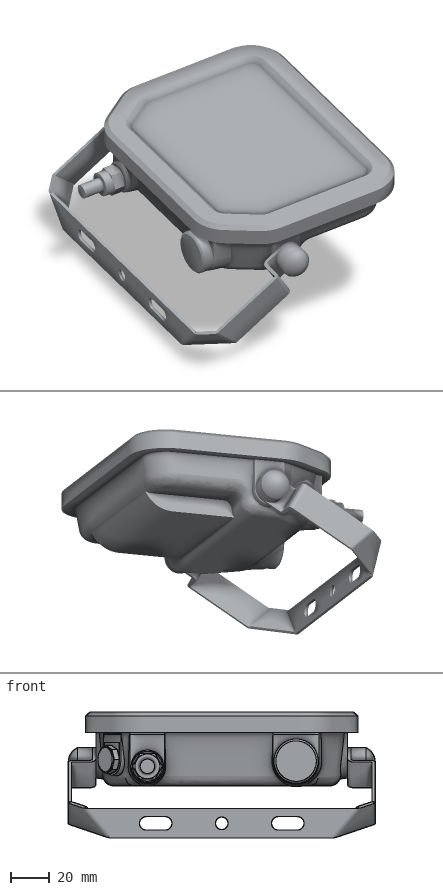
import cadquery as cq
import math

joint_z = 0.0

frame_half_width = 70.0
frame_back_y = 65.3
frame_front_y = -46.7
corner_cut_x = 50.3
corner_cut_y = -18.5
frame_corner_radius = 19.7
frame_height = 10.5
frame_bevel_width = 2.4
frame_bevel_height = 2.0
rim_width = 11.2
window_slope_width = 3.2
window_depth = 2.7

zone_half_width = 52.8
zone_back_y = 47.8
zone_front_y = -2.5
zone_corner_radius = 3.2

housing_inset = 7.0
side_draft = 5.0
back_draft = 9.0
front_draft = 10.0
deep_floor_z = -27.5
shallow_floor_z = -16.4
floor_step_y = 6.5
floor_step_inner_radius = 4.7
housing_edge_radius = 6.0
heat_sink_half_width = 41.0
heat_sink_back_y = 55.2
heat_sink_floor_z = -25.1
heat_sink_root_z = -7.9
heat_sink_radius = 16.5

pivot_y = -5.7
pivot_z = -15.3
pivot_pad_x = 64.7
pivot_pad_radius = 8.0
pad_root = 9.5
pad_draft = 8.0
pad_lip = 1.0

strip_width = 15.3
strip_thickness = 1.7
bracket_tilt = 30.0
bracket_half_width = 78.9
offset_distance = 13.0
bar_y = -64.8
bar_low_z = -54.3
arm_fold_top_y = -57.3
arm_fold_low_y = -45.5
bar_fold_top_x = 70.7
bend_radius = 2.4
plate_bend_radius = 3.2
mount_hole_diameter = 6.3
slot_length = 16.5
slot_width = 6.8
slot_x = 33.9

knob_diameter = strip_width
knob_dome_height = 4.9

gland_x = -38.2
gland_z = -17.4
front_pad_y = -40.5
gland_pad_radius = 8.8
gland_flange_diameter = 16.7
gland_flange_y = -42.9
gland_flange_bevel = 0.6
gland_hex_start_y = -43.9
gland_hex_sides = 6
gland_hex_flats = 13.3
gland_hex_end_y = -49.5
gland_collar_diameter = 12.8
gland_collar_end_y = -54.0
cable_diameter = 7.4
cable_end_y = -65.2

plug_x = -gland_x
plug_z = -14.7
plug_pad_radius = 11.8
plug_diameter = 22.7
plug_length = 6.3
plug_bevel = 1.0

vent_z = -13.9
vent_offset = 3.0
vent_pad_inset = 6.8
vent_pad_radius = 7.9
vent_seat_radius = 6.8
vent_seat_top = -5.0
vent_seat_height = 0.3
vent_sides = 8
vent_flats = 13.4
vent_grip_height = 3.3
vent_cap_diameter = 12.8
vent_cap_height = 0.8

corner_run_x = frame_half_width - corner_cut_x
corner_run_y = corner_cut_y - frame_front_y
corner_run = math.hypot(corner_run_x, corner_run_y)
slant_normal = (-corner_run_y / corner_run, -corner_run_x / corner_run, 0)


def rounded_outline(side, back, front, radius):
    """Frame outline with its sides, back and front moved inwards, and all corners rounded.

    The slanted corners move inwards by the mean of the side and front distances.
    """
    slant = (side + front) / 2
    half_width = frame_half_width - side
    front_y = frame_front_y + front
    cut_y = corner_cut_y + (slant * corner_run - side * corner_run_y) / corner_run_x
    cut_x = corner_cut_x - (slant * corner_run - front * corner_run_x) / corner_run_y
    points = [
        (-half_width, frame_back_y - back),
        (half_width, frame_back_y - back),
        (half_width, cut_y),
        (cut_x, front_y),
        (-cut_x, front_y),
        (-half_width, cut_y),
    ]
    block = cq.Workplane("XY").polyline(points).close().extrude(1.5)
    return block.edges("|Z").fillet(radius).faces("<Z").wires().val()


def frame_outline(inset):
    """Frame outline moved inwards evenly."""
    return rounded_outline(inset, inset, inset, frame_corner_radius - inset)


def prism(wire, low_z, high_z):
    """Straight block between two heights."""
    base = wire.moved(cq.Location(cq.Vector(0, 0, low_z)))
    return cq.Workplane(cq.Solid.extrudeLinear(base, [], cq.Vector(0, 0, high_z - low_z)))


def lofted(low_wire, low_z, high_wire, high_z):
    """Block with sloping walls between two outlines."""
    low = low_wire.moved(cq.Location(cq.Vector(0, 0, low_z)))
    high = high_wire.moved(cq.Location(cq.Vector(0, 0, high_z)))
    return cq.Workplane(cq.Solid.makeLoft([low, high], True))


front = (0, -1, 0)
window_floor_z = frame_height - window_depth
glass_inset = rim_width + window_slope_width
glass_wire = frame_outline(glass_inset)


def make_frame():
    """Bevelled ring with a sloping window edge."""
    bevel_z = frame_height - frame_bevel_height
    body = prism(frame_outline(0), joint_z, bevel_z)
    body = body.union(lofted(frame_outline(0), bevel_z, frame_outline(frame_bevel_width), frame_height))
    slope = lofted(glass_wire, window_floor_z, frame_outline(rim_width), frame_height)
    return body.cut(slope).cut(prism(glass_wire, joint_z, window_floor_z))


def make_glass():
    """Pane that fills the window opening."""
    pane = prism(glass_wire, joint_z, window_floor_z)
    zone = (
        cq.Workplane("XY", origin=(0, (zone_back_y + zone_front_y) / 2, joint_z))
        .rect(2 * zone_half_width, zone_back_y - zone_front_y)
        .extrude(window_floor_z - joint_z)
        .edges("|Z")
        .fillet(zone_corner_radius)
    )
    return pane.cut(zone).union(zone, clean=False)


def tongue(radius, top):
    """Outline that is round below its centre, with straight sides up to local y = top."""
    return (
        cq.Workplane("XY")
        .moveTo(radius, 0)
        .lineTo(radius, top)
        .lineTo(-radius, top)
        .lineTo(-radius, 0)
        .threePointArc((0, -radius), (radius, 0))
        .close()
    )


def make_pad(radius, top):
    """Drafted pad with its face at local z = 0 and a bevel along the top of that face."""
    shape = tongue(radius, top).extrude(-pad_root, taper=-pad_draft)
    bevel = (
        cq.Workplane("YZ")
        .polyline([(top - pad_lip, 0), (top, 0), (top, -pad_lip / 2)])
        .close()
        .extrude(radius, both=True)
    )
    return shape.cut(bevel)


def place(shape, origin, outward):
    """Stand a shape so that its local z points outwards and its local y points up."""
    across = cq.Vector(0, 0, 1).cross(cq.Vector(*outward))
    plane = cq.Plane(origin=origin, xDir=across, normal=outward)
    return cq.Workplane(shape.val().moved(cq.Location(plane)))


vent_base = (
    -(frame_half_width + corner_cut_x) / 2 - slant_normal[0] * vent_pad_inset + slant_normal[1] * vent_offset,
    (corner_cut_y + frame_front_y) / 2 - slant_normal[1] * vent_pad_inset - slant_normal[0] * vent_offset,
    vent_z,
)


def make_housing():
    """Drafted shell with a raised floor at the back, a heat sink under it, and mounting pads."""
    def inset_at_floor(draft):
        return housing_inset - deep_floor_z * math.tan(math.radians(draft))

    floor_outline = rounded_outline(
        inset_at_floor(side_draft),
        inset_at_floor(back_draft),
        inset_at_floor(front_draft),
        frame_corner_radius - housing_inset,
    )
    body = lofted(floor_outline, deep_floor_z, frame_outline(housing_inset), joint_z)
    far = 2 * frame_half_width
    floor_step_outer_radius = shallow_floor_z - floor_step_inner_radius - deep_floor_z
    step_end_y = floor_step_y - floor_step_outer_radius
    step = (
        cq.Workplane("YZ")
        .moveTo(far, shallow_floor_z)
        .lineTo(floor_step_y + floor_step_inner_radius, shallow_floor_z)
        .radiusArc((floor_step_y, shallow_floor_z - floor_step_inner_radius), -floor_step_inner_radius)
        .radiusArc((step_end_y, deep_floor_z), floor_step_outer_radius)
        .lineTo(step_end_y, deep_floor_z - far)
        .lineTo(far, deep_floor_z - far)
        .close()
        .extrude(far, both=True)
    )
    body = body.cut(step)
    body = body.faces("<Z").edges("<Y").fillet(housing_edge_radius)
    sink = (
        cq.Workplane("YZ")
        .polyline([
            (step_end_y, heat_sink_root_z), (heat_sink_back_y, heat_sink_root_z),
            (heat_sink_back_y, heat_sink_floor_z), (step_end_y, heat_sink_floor_z),
        ])
        .close()
        .extrude(heat_sink_half_width, both=True)
        .edges("|X and >Y and <Z")
        .fillet(heat_sink_radius)
    )
    body = body.union(sink)
    for side in (-1, 1):
        pivot_pad = make_pad(pivot_pad_radius, -pivot_z)
        body = body.union(place(pivot_pad, (side * pivot_pad_x, pivot_y, pivot_z), (side, 0, 0)))
    gland_pad = make_pad(gland_pad_radius, -gland_z)
    body = body.union(place(gland_pad, (gland_x, front_pad_y, gland_z), front))
    plug_pad = make_pad(plug_pad_radius, -plug_z)
    body = body.union(place(plug_pad, (plug_x, front_pad_y, plug_z), front))
    vent_pad = make_pad(vent_pad_radius, -vent_z)
    body = body.union(place(vent_pad, vent_base, slant_normal))
    vent_seat = tongue(vent_seat_radius, vent_seat_top - vent_z).extrude(vent_seat_height)
    body = body.union(place(vent_seat, vent_base, slant_normal))
    above = cq.Workplane("XY", origin=(0, 0, joint_z)).rect(2 * far, 2 * far).extrude(far)
    return body.cut(above)


def make_bracket():
    """Strip bent into a bar, slanted facets, arms, inward folds and plates with round ends."""
    tilt = math.radians(bracket_tilt)
    half_height = strip_width / 2 / math.cos(tilt)

    def arm_point(y, side):
        """Point on the outer face of the left arm, on its upper (side = 1) or lower (-1) edge."""
        z = pivot_z + (y - pivot_y) * math.tan(tilt) + side * half_height
        return cq.Vector(-bracket_half_width, y, z)

    arm_top = arm_point(arm_fold_top_y, 1)
    arm_low = arm_point(arm_fold_low_y, -1)
    bar_top = cq.Vector(-bar_fold_top_x, bar_y, bar_low_z + strip_width)
    inward = (arm_top - arm_low).cross(bar_top - arm_low).normalized()
    rise = (arm_low.y - bar_y) * inward.y + (arm_low.z - bar_low_z) * inward.z
    bar_low = cq.Vector(arm_low.x + rise / inward.x, bar_y, bar_low_z)

    plate_x = -pivot_pad_x
    fold_outer_y = -offset_distance
    fold_inner_y = fold_outer_y + strip_thickness
    arm_inner_x = strip_thickness - bracket_half_width
    plate_outer_x = plate_x - strip_thickness
    arm_reach = 2 * bracket_half_width
    strip = (
        cq.Workplane("XY")
        .polyline([
            (plate_x, 0), (plate_x, fold_outer_y), (arm_inner_x, fold_outer_y), (arm_inner_x, -arm_reach),
            (-bracket_half_width, -arm_reach), (-bracket_half_width, fold_inner_y),
            (plate_outer_x, fold_inner_y), (plate_outer_x, 0),
        ])
        .close()
        .extrude(strip_width / 2, both=True)
    )
    bends = [
        ((plate_x, fold_outer_y, 0), plate_bend_radius),
        ((plate_outer_x, fold_inner_y, 0), plate_bend_radius - strip_thickness),
        ((-bracket_half_width, fold_inner_y, 0), bend_radius),
        ((arm_inner_x, fold_outer_y, 0), bend_radius - strip_thickness),
    ]
    for bend, radius in bends:
        strip = strip.edges(cq.selectors.NearestToPointSelector(bend)).fillet(radius)
    eye = cq.Workplane("YZ", origin=(plate_outer_x, 0, 0)).circle(strip_width / 2).extrude(strip_thickness)
    strip = strip.union(eye).rotate((0, 0, 0), (1, 0, 0), bracket_tilt).translate((0, pivot_y, pivot_z))

    fold = (arm_top - arm_low) * 2
    beyond = cq.Vector(0, -arm_reach, -arm_reach)
    fold_ends = [arm_low - fold, arm_low + fold]
    outline = fold_ends + [fold_ends[1] + beyond, fold_ends[0] + beyond]
    trim = (
        cq.Workplane("YZ", origin=(-bracket_half_width, 0, 0))
        .polyline([(point.y, point.z) for point in outline])
        .close()
        .extrude(bracket_half_width)
    )
    arm = strip.cut(trim)

    facet_wire = cq.Wire.makePolygon([arm_top, arm_low, bar_low, bar_top], close=True)
    facet = cq.Workplane(cq.Solid.extrudeLinear(facet_wire, [], inward * strip_thickness))
    bar_half = (
        cq.Workplane("XZ", origin=(0, bar_y, 0))
        .polyline([(0, bar_top.z), (bar_top.x, bar_top.z), (bar_low.x, bar_low.z), (0, bar_low.z)])
        .close()
        .extrude(-strip_thickness)
    )
    half = arm.union(facet).union(bar_half)
    for ends in ((arm_top, arm_low), (bar_top, bar_low)):
        middle = (ends[0] + ends[1]) / 2
        half = half.edges(cq.selectors.NearestToPointSelector(middle.toTuple())).fillet(bend_radius)
    bracket = half.union(half.mirror("YZ"))

    holes = (
        cq.Workplane("XZ", origin=(0, bar_y, bar_low_z + strip_width / 2))
        .circle(mount_hole_diameter / 2)
        .pushPoints([(-slot_x, 0), (slot_x, 0)])
        .slot2D(slot_length, slot_width)
        .extrude(-strip_thickness)
    )
    return bracket.cut(holes)


def make_knob(side):
    """Round knob with a domed end, on the outer face of the pivot plate."""
    base_x = pivot_pad_x + strip_thickness
    radius = knob_diameter / 2
    height = bracket_half_width - base_x
    rim = height - knob_dome_height
    sphere_radius = (radius**2 + knob_dome_height**2) / (2 * knob_dome_height)
    knob = (
        cq.Workplane("XZ")
        .lineTo(radius, 0)
        .lineTo(radius, rim)
        .radiusArc((0, height), -sphere_radius)
        .close()
        .revolve(360, (0, 0, 0), (0, 1, 0))
    )
    return place(knob, (side * base_x, pivot_y, pivot_z), (side, 0, 0))


def make_cable():
    cable = cq.Workplane("XY").circle(cable_diameter / 2).extrude(gland_collar_end_y - cable_end_y)
    return place(cable, (gland_x, gland_collar_end_y, gland_z), front)


def make_gland():
    flange_top = front_pad_y - gland_flange_y
    hex_bottom = front_pad_y - gland_hex_start_y
    hex_top = front_pad_y - gland_hex_end_y
    collar_top = front_pad_y - gland_collar_end_y
    hex_corners = gland_hex_flats / math.cos(math.pi / gland_hex_sides)
    gland = cq.Workplane("XY").circle(gland_flange_diameter / 2).extrude(flange_top)
    gland = gland.faces(">Z").edges().chamfer(gland_flange_bevel)
    gland = gland.union(cq.Workplane("XY").circle(gland_collar_diameter / 2).extrude(collar_top))
    nut = (
        cq.Workplane("XY", origin=(0, 0, hex_bottom))
        .polygon(gland_hex_sides, hex_corners)
        .extrude(hex_top - hex_bottom)
    )
    return place(gland.union(nut), (gland_x, front_pad_y, gland_z), front)


def make_plug():
    plug = cq.Workplane("XY").circle(plug_diameter / 2).extrude(plug_length)
    plug = plug.faces(">Z").edges().chamfer(plug_bevel)
    return place(plug, (plug_x, front_pad_y, plug_z), front)


def make_vent():
    corners = vent_flats / math.cos(math.pi / vent_sides)
    vent = cq.Workplane("XY").polygon(vent_sides, corners).extrude(vent_grip_height)
    vent = vent.faces(">Z").workplane().circle(vent_cap_diameter / 2).extrude(vent_cap_height)
    return place(vent.translate((0, 0, vent_seat_height)), vent_base, slant_normal)


frame = make_frame()
glass = make_glass()
housing = make_housing()
bracket = make_bracket()
knobs = [make_knob(side) for side in (-1, 1)]
gland = make_gland()
cable = make_cable()
plug = make_plug()
vent = make_vent()

bodies = [frame, glass, housing, bracket, *knobs, gland, cable, plug, vent]
result = cq.Compound.makeCompound([body.solids().val() for body in bodies])